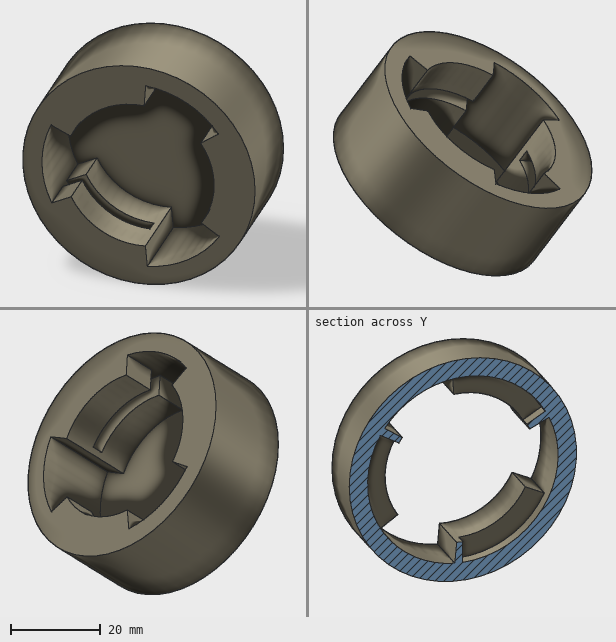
import cadquery as cq
import math

outer_radius = 27.0
length = 22.0
bore_radius = 17.5
slot_radius = 22.5
cavity_depth = 20.0

slot_count = 3
slot_pitch = 360.0 / slot_count
slot_span = 51.0
first_slot_center = 60.5

lip_thickness = 8.5
groove_width = 3.0
stop_span = 5.0
groove_span = slot_pitch - slot_span - stop_span


def cylinder(radius, depth):
    """Cylinder about Y that runs from Y = 0 towards +Y."""
    return cq.Workplane("XZ").circle(radius).extrude(-depth)


def sector(start, span, depth, front=0.0):
    """Pie slice out to the slot radius; angles run from +X towards +Z."""
    def rim(angle):
        turn = math.radians(angle)
        return slot_radius * math.cos(turn), slot_radius * math.sin(turn)

    return (
        cq.Workplane("XZ", origin=(0, front, 0))
        .moveTo(0, 0)
        .lineTo(*rim(start))
        .threePointArc(rim(start + span / 2), rim(start + span))
        .close()
        .extrude(-depth)
    )


result = cylinder(outer_radius, length).cut(cylinder(bore_radius, cavity_depth))

for index in range(slot_count):
    slot_start = first_slot_center + index * slot_pitch - slot_span / 2
    groove_start = slot_start + slot_span
    result = result.cut(sector(slot_start, slot_span, cavity_depth))
    result = result.cut(sector(groove_start, groove_span, groove_width, lip_thickness))